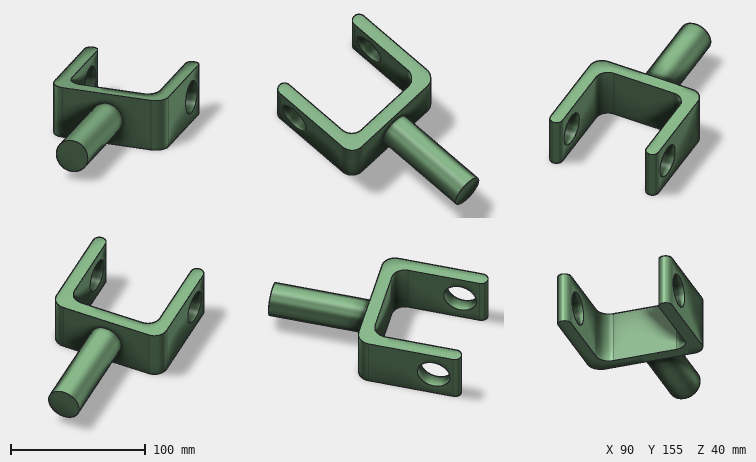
import cadquery as cq

total_length = 155.0
fork_length = 80.0
fork_width = 90.0
fork_height = 40.0
wall = 10.0
corner_radius = 10.0
shank_diameter = 25.0
pin_hole_diameter = 25.0
pin_hole_from_tip = fork_height / 2

shank_length = total_length - fork_length
half_width = fork_width / 2
half_inside = half_width - wall
tip_radius = wall / 2
arm_end = fork_length - tip_radius
arm_center = half_width - tip_radius


def make_fork():
    """U-shaped bracket with rounded corners and fully rounded arm tips."""
    profile = (
        cq.Workplane("XY")
        .workplane(offset=-fork_height / 2)
        .moveTo(-half_width, 0)
        .lineTo(half_width, 0)
        .lineTo(half_width, arm_end)
        .threePointArc((arm_center, fork_length), (half_inside, arm_end))
        .lineTo(half_inside, wall)
        .lineTo(-half_inside, wall)
        .lineTo(-half_inside, arm_end)
        .threePointArc((-arm_center, fork_length), (-half_width, arm_end))
        .close()
    )
    fork = profile.extrude(fork_height)
    corners = cq.selectors.BoxSelector(
        (-fork_width, -wall, -fork_height),
        (fork_width, 2 * wall, fork_height),
    )
    return fork.edges("|Z").edges(corners).fillet(corner_radius)


def make_shank():
    """Round bar reaching from the back of the fork towards -Y."""
    return cq.Workplane("XZ").circle(shank_diameter / 2).extrude(shank_length)


def make_pin_bore():
    """Cylinder along X that pierces both arms."""
    return (
        cq.Workplane("YZ")
        .center(fork_length - pin_hole_from_tip, 0)
        .circle(pin_hole_diameter / 2)
        .extrude(half_width, both=True)
    )


result = make_fork().union(make_shank()).cut(make_pin_bore())